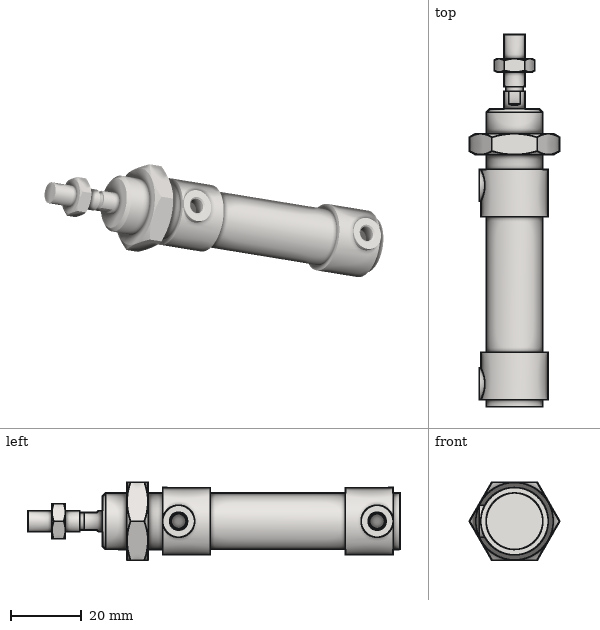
import cadquery as cq
import math

total_length = 105.0

barrel_diameter = 16.0
barrel_length = 84.0
barrel_chamfer = 0.9
collar_diameter = 19.0
collar_length = 13.4
rear_collar_start = 2.0
front_collar_end = 67.0

port_boss_diameter = 9.0
port_face_x = -10.0
port_hole_diameter = 4.2
port_mouth_diameter = 5.0
port_hole_depth = 4.2
rear_port_y = rear_collar_start + port_boss_diameter / 2
front_port_y = front_collar_end - port_boss_diameter / 2

rod_diameter = 6.0
undercut_diameter = 5.0
undercut_start = 89.0
undercut_length = 1.3
flats_width = undercut_diameter
flats_start = 85.5

mounting_nut_width = 22.0
mounting_nut_start = 71.1
mounting_nut_height = 6.0
mounting_nut_face_diameter = 21.8
rod_nut_width = 10.0
rod_nut_start = 94.4
rod_nut_height = 3.8
rod_nut_face_diameter = 9.9
nut_chamfer_angle = 30.0


def cylinder_along_y(diameter, start, length):
    plane = cq.Plane(origin=(0, start, 0), xDir=(1, 0, 0), normal=(0, 1, 0))
    return cq.Workplane(plane).circle(diameter / 2).extrude(length)


def make_port_boss(port_y):
    plane = cq.Plane(origin=(port_face_x, port_y, 0), xDir=(0, 1, 0), normal=(1, 0, 0))
    return cq.Workplane(plane).circle(port_boss_diameter / 2).extrude(-port_face_x)


def make_port_hole(port_y):
    """Blind hole with a 45 degree countersunk mouth, as a revolved cutter."""
    hole_radius = port_hole_diameter / 2
    mouth_radius = port_mouth_diameter / 2
    mouth_depth = mouth_radius - hole_radius
    profile = [
        (0, 0),
        (0, mouth_radius),
        (mouth_depth, hole_radius),
        (port_hole_depth, hole_radius),
        (port_hole_depth, 0),
    ]
    plane = cq.Plane(origin=(port_face_x, port_y, 0), xDir=(1, 0, 0), normal=(0, 0, 1))
    return cq.Workplane(plane).polyline(profile).close().revolve(360, (0, 0), (1, 0))


def make_housing():
    housing = cylinder_along_y(barrel_diameter, 0, barrel_length)
    housing = housing.faces(">Y").chamfer(barrel_chamfer)
    for collar_start in (rear_collar_start, front_collar_end - collar_length):
        housing = housing.union(cylinder_along_y(collar_diameter, collar_start, collar_length))
    for port_y in (rear_port_y, front_port_y):
        housing = housing.union(make_port_boss(port_y))
        housing = housing.cut(make_port_hole(port_y))
    return housing


def make_flat_cutter(side):
    """Prism for one wrench flat, running out to the rod surface at 45 degrees."""
    flat_z = flats_width / 2
    surface_z = rod_diameter / 2
    runout = surface_z - flat_z
    profile = [
        (undercut_start, side * flat_z),
        (flats_start, side * flat_z),
        (flats_start - runout, side * surface_z),
        (undercut_start, side * surface_z),
    ]
    return cq.Workplane("YZ").polyline(profile).close().extrude(rod_diameter / 2, both=True)


def make_piston_rod():
    """Rod standing on the front face of the housing."""
    rod = cylinder_along_y(rod_diameter, barrel_length, total_length - barrel_length)
    undercut = cylinder_along_y(rod_diameter, undercut_start, undercut_length).cut(
        cylinder_along_y(undercut_diameter, undercut_start, undercut_length)
    )
    rod = rod.cut(undercut)
    for side in (-1, 1):
        rod = rod.cut(make_flat_cutter(side))
    return rod


def make_hex_nut(width_across_flats, start, height, face_diameter, bore_diameter):
    """Hexagon nut with corners on the X axis, conically chamfered at both ends."""
    corner_radius = width_across_flats / math.sqrt(3)
    face_radius = face_diameter / 2
    chamfer_drop = (corner_radius - face_radius) * math.tan(math.radians(nut_chamfer_angle))
    plane = cq.Plane(origin=(0, start, 0), xDir=(1, 0, 0), normal=(0, 1, 0))
    hexagon = cq.Workplane(plane).polygon(6, 2 * corner_radius).extrude(height)
    envelope_profile = [
        (0, start),
        (face_radius, start),
        (corner_radius, start + chamfer_drop),
        (corner_radius, start + height - chamfer_drop),
        (face_radius, start + height),
        (0, start + height),
    ]
    envelope = cq.Workplane("XY").polyline(envelope_profile).close().revolve(360, (0, 0), (0, 1))
    return hexagon.intersect(envelope).cut(cylinder_along_y(bore_diameter, start, height))


housing = make_housing()
piston_rod = make_piston_rod()
mounting_nut = make_hex_nut(
    mounting_nut_width,
    mounting_nut_start,
    mounting_nut_height,
    mounting_nut_face_diameter,
    barrel_diameter,
)
rod_nut = make_hex_nut(
    rod_nut_width, rod_nut_start, rod_nut_height, rod_nut_face_diameter, rod_diameter
)

result = cq.Compound.makeCompound(
    [housing.val(), piston_rod.val(), mounting_nut.val(), rod_nut.val()]
)